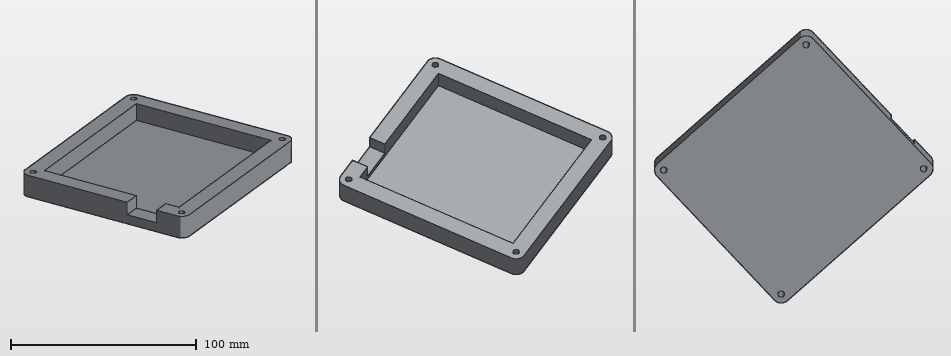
import cadquery as cq

width = 104.0
length = 114.0
height = 13.0
corner_radius = 5.0

wall = 9.5
cavity_depth = 10.0

notch_width = 18.6
notch_depth = 7.5
notch_center_x = 24.9

hole_diameter = 3.4
hole_spacing_x = width - 2 * corner_radius
hole_spacing_y = length - 2 * corner_radius


def top_pocket(size_x, size_y, depth, center_x=0.0, center_y=0.0):
    """Box that reaches down from the top face by the given depth."""
    return (
        cq.Workplane("XY")
        .box(size_x, size_y, depth, centered=(True, True, False))
        .translate((center_x, center_y, height - depth))
    )


body = (
    cq.Workplane("XY")
    .box(width, length, height, centered=(True, True, False))
    .edges("|Z")
    .fillet(corner_radius)
)

cavity = top_pocket(width - 2 * wall, length - 2 * wall, cavity_depth)

notch_center_y = (wall - length) / 2
notch = top_pocket(notch_width, wall, notch_depth, notch_center_x, notch_center_y)

screw_holes = (
    cq.Workplane("XY")
    .rect(hole_spacing_x, hole_spacing_y, forConstruction=True)
    .vertices()
    .circle(hole_diameter / 2)
    .extrude(height)
)

result = body.cut(cavity).cut(notch).cut(screw_holes)